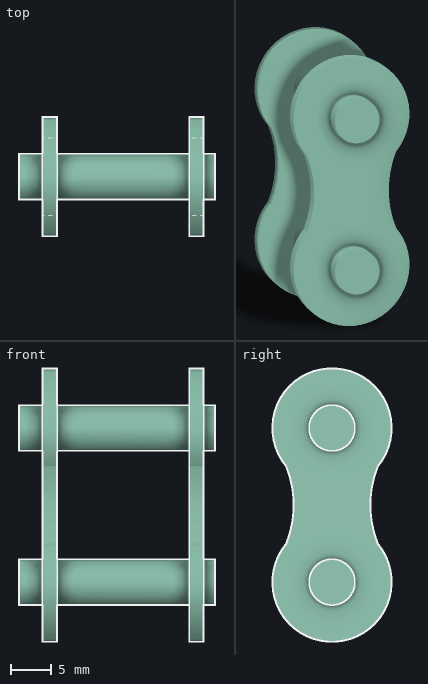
import cadquery as cq
import math

pitch = 19.05
lobe_diameter = 14.78
waist_width = 9.5
waist_height = 9.6
plate_thickness = 1.8
pin_diameter = 5.68
pin_length = 24.26
long_pin_end = 2.92
short_pin_end = 1.43

pin_z = pitch / 2
lobe_radius = lobe_diameter / 2
pin_start_x = -pin_length / 2
left_plate_x = pin_start_x + long_pin_end
right_plate_x = pin_length / 2 - short_pin_end - plate_thickness

corner_z = waist_height / 2
corner_y = math.sqrt(lobe_radius**2 - (pin_z - corner_z) ** 2)


def make_plate(start_x):
    """Figure-eight link plate occupying start_x to start_x + plate_thickness."""
    lobe_top_z = pin_z + lobe_radius
    return (
        cq.Workplane("YZ", origin=(start_x, 0, 0))
        .moveTo(corner_y, corner_z)
        .threePointArc((0, lobe_top_z), (-corner_y, corner_z))
        .threePointArc((-waist_width / 2, 0), (-corner_y, -corner_z))
        .threePointArc((0, -lobe_top_z), (corner_y, -corner_z))
        .threePointArc((waist_width / 2, 0), (corner_y, corner_z))
        .close()
        .extrude(plate_thickness)
    )


def make_pin(center_z):
    """Straight pin along X."""
    return (
        cq.Workplane("YZ", origin=(pin_start_x, 0, center_z))
        .circle(pin_diameter / 2)
        .extrude(pin_length)
    )


result = make_plate(left_plate_x).union(make_plate(right_plate_x))
for center_z in (-pin_z, pin_z):
    result = result.union(make_pin(center_z))